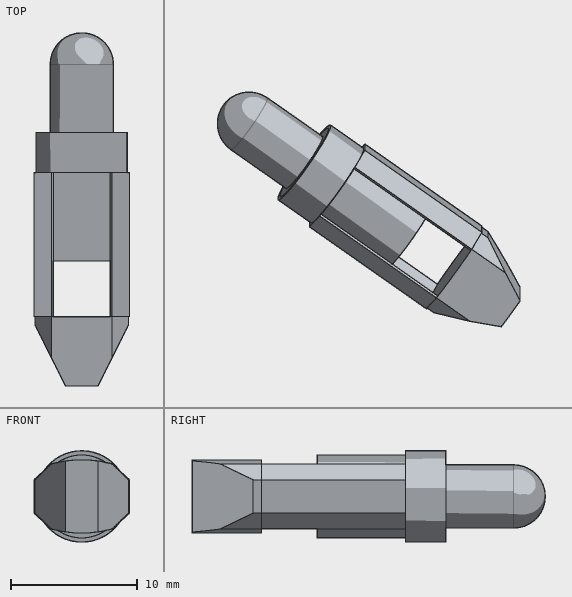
import cadquery as cq
import math

overall_length = 27.9
collar_back = 20.05
collar_front = 16.85
tube_front = 9.88
tip_back = 5.5
taper_back = 4.83

plunger_radius = 2.5
tube_radius = 6.55 / 2
bore_radius = 2.37
collar_radius = 7.23 / 2

arm_half_width = 7.55 / 2
tip_half_width = 7.4 / 2
nose_half_width = 1.28
side_half_height = 1.3
ridge_x = 2.4
ridge_z = 2.57
tip_half_height = 2.9


def section_plane(y):
    """XZ plane at the given Y, with its normal along +Y and local y along +Z."""
    return cq.Workplane(cq.Plane(origin=(0, y, 0), xDir=(-1, 0, 0), normal=(0, 1, 0)))


def cylinder(radius, start, end):
    return section_plane(start).circle(radius).extrude(end - start)


def make_plunger():
    """Round pin with a hemispherical end, seated in the collar end of the tube."""
    dome_start = overall_length - plunger_radius
    dome_middle = plunger_radius * math.sqrt(0.5)
    return (
        cq.Workplane("XY")
        .moveTo(0, collar_front)
        .lineTo(plunger_radius, collar_front)
        .lineTo(plunger_radius, dome_start)
        .threePointArc((dome_middle, dome_start + dome_middle), (0, overall_length))
        .close()
        .revolve(360, (0, 0, 0), (0, 1, 0))
    )


def make_tube():
    """Open tube through the sleeve, with a wider socket where the plunger sits."""
    bore = cylinder(bore_radius, tube_front, collar_front)
    socket = cylinder(plunger_radius, collar_front, collar_back)
    return cylinder(tube_radius, tube_front, collar_back).cut(bore).cut(socket)


def make_arm(side):
    """Arm blank whose edges run radially in to the axis; side is -1 or 1 along X."""
    return (
        section_plane(tip_back)
        .moveTo(0, 0)
        .lineTo(side * ridge_x, ridge_z)
        .lineTo(side * arm_half_width, side_half_height)
        .lineTo(side * arm_half_width, -side_half_height)
        .lineTo(side * ridge_x, -ridge_z)
        .close()
        .extrude(collar_front - tip_back)
    )


def make_sleeve():
    """Collar ring with two arms to the tip, all hollowed by one hole for the tube."""
    sleeve = cylinder(collar_radius, collar_front, collar_back)
    for side in (-1, 1):
        sleeve = sleeve.union(make_arm(side))
    return sleeve.cut(cylinder(tube_radius, tip_back, collar_back))


def make_tip():
    """Block with arched top and bottom, tapered in X down to a flat nose."""
    block = (
        section_plane(0)
        .moveTo(-ridge_x, ridge_z)
        .threePointArc((0, tip_half_height), (ridge_x, ridge_z))
        .lineTo(tip_half_width, side_half_height)
        .lineTo(tip_half_width, -side_half_height)
        .lineTo(ridge_x, -ridge_z)
        .threePointArc((0, -tip_half_height), (-ridge_x, -ridge_z))
        .lineTo(-tip_half_width, -side_half_height)
        .lineTo(-tip_half_width, side_half_height)
        .close()
        .extrude(tip_back)
    )
    taper = (
        cq.Workplane("XY")
        .moveTo(-nose_half_width, 0)
        .lineTo(nose_half_width, 0)
        .lineTo(tip_half_width, taper_back)
        .lineTo(tip_half_width, tip_back)
        .lineTo(-tip_half_width, tip_back)
        .lineTo(-tip_half_width, taper_back)
        .close()
        .extrude(tip_half_height, both=True)
    )
    return block.intersect(taper)


plunger = make_plunger()
tube = make_tube()
sleeve = make_sleeve()
tip = make_tip()

result = cq.Compound.makeCompound([body.solids().val() for body in (plunger, tube, sleeve, tip)])